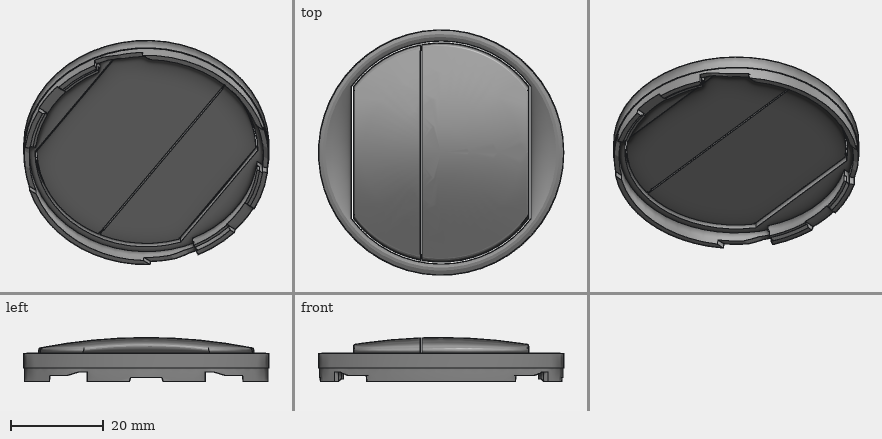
import cadquery as cq
import math

OUTER_RADIUS = 26.5
TOTAL_HEIGHT = 9.55

SEAM_Z = 2.9
SKIRT_RADIUS = 26.35
SKIRT_INNER_RADIUS = 25.3
RIM_EDGE_Z = 6.05
RIM_TOP_Z = 6.15
RIM_FLAT_OUTER_RADIUS = 25.55
RIM_FLAT_INNER_RADIUS = 24.9
PLATE_BOTTOM_Z = 3.7
DISH_Z = 5.35

OPENING_RADIUS = 24.05
OPENING_HALF_WIDTH = 19.4
ROCKER_HALF_WIDTH = 18.9
ROCKER_BASE_RADIUS = 23.7
ROCKER_SHOULDER_RADIUS = 23.15
ROCKER_BOTTOM_Z = 4.5
DOME_RADIUS = 117.65
ROCKER_FILLET = 0.5
SPLIT_LEFT_X = -4.5
SPLIT_RIGHT_X = -4.15

TAB_WIDTH = 0.15
TAB_INNER_Y = 22.0
TAB_OUTER_Y = 23.0
TAB_TOP_Z = 5.85

NOTCH_INNER_ANGLE = 29.0
NOTCH_OUTER_Y = 20.9
NOTCH_DRAFT = 0.1
NOTCH_SHALLOW_Z = 1.25
NOTCH_DEEP_Z = 2.05
NOTCH_RAMP_INNER_Y = 14.5
NOTCH_RAMP_OUTER_Y = 17.1

CENTER_NOTCH_BOTTOM_HALF_WIDTH = 3.65
CENTER_NOTCH_TOP_HALF_WIDTH = 3.35
CENTER_NOTCH_Z = 0.85

PAD_INNER_RADIUS = 24.05
PAD_FOOT_RADIUS = 24.65
PAD_BOTTOM_Z = 0.55
PAD_HALF_LENGTH = 11.9


def revolve_profile(points):
    """Closed (radius, z) outline turned about the Z axis."""
    return cq.Workplane("XZ").polyline(points).close().revolve(360, (0, 0), (0, 1))


def flat_sided_disc(radius, half_width, bottom_z, top_z):
    """Disc cut off by two flats facing +X and -X."""
    height = top_z - bottom_z
    disc = cq.Workplane("XY").workplane(offset=bottom_z).circle(radius).extrude(height)
    return disc.intersect(slab(-half_width, half_width, bottom_z, top_z))


def slab(x_min, x_max, z_min, z_max):
    """Block between two X planes, as deep in Y as the whole part."""
    block = cq.Workplane("XY").box(
        x_max - x_min, 2 * OUTER_RADIUS, z_max - z_min, centered=(False, True, False)
    )
    return block.translate((x_min, 0, z_min))


def cut_through_x(points):
    """Closed (y, z) outline carried along X through the whole part."""
    return cq.Workplane("YZ").polyline(points).close().extrude(OUTER_RADIUS, both=True)


def make_ring():
    """Rim, skirt and face plate as one turned shape; the conical dish leaves the middle open."""
    dish_slope = (RIM_TOP_Z - DISH_Z) / (RIM_FLAT_INNER_RADIUS - OPENING_HALF_WIDTH)
    dish_end_radius = RIM_FLAT_INNER_RADIUS - (RIM_TOP_Z - PLATE_BOTTOM_Z) / dish_slope
    return revolve_profile([
        (dish_end_radius, PLATE_BOTTOM_Z),
        (SKIRT_INNER_RADIUS, PLATE_BOTTOM_Z),
        (SKIRT_INNER_RADIUS, 0),
        (SKIRT_RADIUS, 0),
        (SKIRT_RADIUS, SEAM_Z),
        (OUTER_RADIUS, SEAM_Z),
        (OUTER_RADIUS, RIM_EDGE_Z),
        (RIM_FLAT_OUTER_RADIUS, RIM_TOP_Z),
        (RIM_FLAT_INNER_RADIUS, RIM_TOP_Z),
    ])


def make_pads():
    """Thicker wall inside the skirt on the +X and -X sides, with a sloped foot."""
    pad_ring = revolve_profile([
        (SKIRT_INNER_RADIUS, 0),
        (PAD_FOOT_RADIUS, PAD_BOTTOM_Z),
        (PAD_INNER_RADIUS, PAD_BOTTOM_Z),
        (PAD_INNER_RADIUS, PLATE_BOTTOM_Z),
        (SKIRT_INNER_RADIUS, PLATE_BOTTOM_Z),
    ])
    pad_span = cq.Workplane("XY").box(2 * OUTER_RADIUS, 2 * PAD_HALF_LENGTH, 2 * TOTAL_HEIGHT)
    return pad_ring.intersect(pad_span)


def make_notch_sector(side):
    """Sector on the +Y or -Y side whose straight edges are the radial inner ends of the notches."""
    reach_x = OUTER_RADIUS
    reach_y = side * reach_x * math.tan(math.radians(NOTCH_INNER_ANGLE))
    return (
        cq.Workplane("XY")
        .polyline([
            (0, 0),
            (reach_x, reach_y),
            (reach_x, side * OUTER_RADIUS),
            (-reach_x, side * OUTER_RADIUS),
            (-reach_x, reach_y),
        ])
        .close()
        .extrude(TOTAL_HEIGHT)
    )


def make_stepped_notches(side):
    """Both notches on the +Y or -Y side: a deep step, a ramp and a shallow step."""
    notches = cut_through_x([
        (0, 0),
        (0, NOTCH_DEEP_Z),
        (side * NOTCH_RAMP_INNER_Y, NOTCH_DEEP_Z),
        (side * NOTCH_RAMP_OUTER_Y, NOTCH_SHALLOW_Z),
        (side * (NOTCH_OUTER_Y - NOTCH_DRAFT), NOTCH_SHALLOW_Z),
        (side * NOTCH_OUTER_Y, 0),
    ])
    return notches.intersect(make_notch_sector(side))


def make_center_notch():
    return cut_through_x([
        (-CENTER_NOTCH_BOTTOM_HALF_WIDTH, 0),
        (-CENTER_NOTCH_TOP_HALF_WIDTH, CENTER_NOTCH_Z),
        (CENTER_NOTCH_TOP_HALF_WIDTH, CENTER_NOTCH_Z),
        (CENTER_NOTCH_BOTTOM_HALF_WIDTH, 0),
    ])


def make_frame():
    frame = make_ring().union(make_pads())
    frame = frame.cut(flat_sided_disc(OPENING_RADIUS, OPENING_HALF_WIDTH, PLATE_BOTTOM_Z, TOTAL_HEIGHT))
    for side in (-1, 1):
        frame = frame.cut(make_stepped_notches(side))
    return frame.cut(make_center_notch())


def dome_z(radius):
    """Height of the spherical rocker top at a distance from the Z axis."""
    return TOTAL_HEIGHT - DOME_RADIUS + math.sqrt(DOME_RADIUS**2 - radius**2)


def make_rocker_blank():
    """Both rockers as one domed, flat-sided disc with a rounded top edge."""
    half_radius = ROCKER_SHOULDER_RADIUS / 2
    blank = (
        cq.Workplane("XZ")
        .moveTo(0, ROCKER_BOTTOM_Z)
        .lineTo(ROCKER_BASE_RADIUS, ROCKER_BOTTOM_Z)
        .lineTo(ROCKER_SHOULDER_RADIUS, dome_z(ROCKER_SHOULDER_RADIUS))
        .threePointArc((half_radius, dome_z(half_radius)), (0, TOTAL_HEIGHT))
        .close()
        .revolve(360, (0, 0), (0, 1))
    )
    blank = blank.intersect(slab(-ROCKER_HALF_WIDTH, ROCKER_HALF_WIDTH, ROCKER_BOTTOM_Z, TOTAL_HEIGHT))
    dome_face = blank.faces(cq.selectors.NearestToPointSelector((0, 0, TOTAL_HEIGHT)))
    return dome_face.edges().fillet(ROCKER_FILLET)


def make_rocker(x_min, x_max):
    """Share of the blank between two X planes."""
    return make_rocker_blank().intersect(slab(x_min, x_max, ROCKER_BOTTOM_Z, TOTAL_HEIGHT))


def make_split_tab(side):
    """Tab on the split face of the left rocker, at its +Y or -Y end."""
    tab = cq.Workplane("XY").box(
        TAB_WIDTH,
        TAB_OUTER_Y - TAB_INNER_Y,
        TAB_TOP_Z - ROCKER_BOTTOM_Z,
        centered=(False, True, False),
    )
    return tab.translate((SPLIT_LEFT_X, side * (TAB_INNER_Y + TAB_OUTER_Y) / 2, ROCKER_BOTTOM_Z))


def make_left_rocker():
    rocker = make_rocker(-ROCKER_HALF_WIDTH, SPLIT_LEFT_X)
    for side in (-1, 1):
        rocker = rocker.union(make_split_tab(side))
    return rocker


frame = make_frame()
left_rocker = make_left_rocker()
right_rocker = make_rocker(SPLIT_RIGHT_X, ROCKER_HALF_WIDTH)
bodies = [frame, left_rocker, right_rocker]
result = cq.Compound.makeCompound([body.solids().val() for body in bodies])